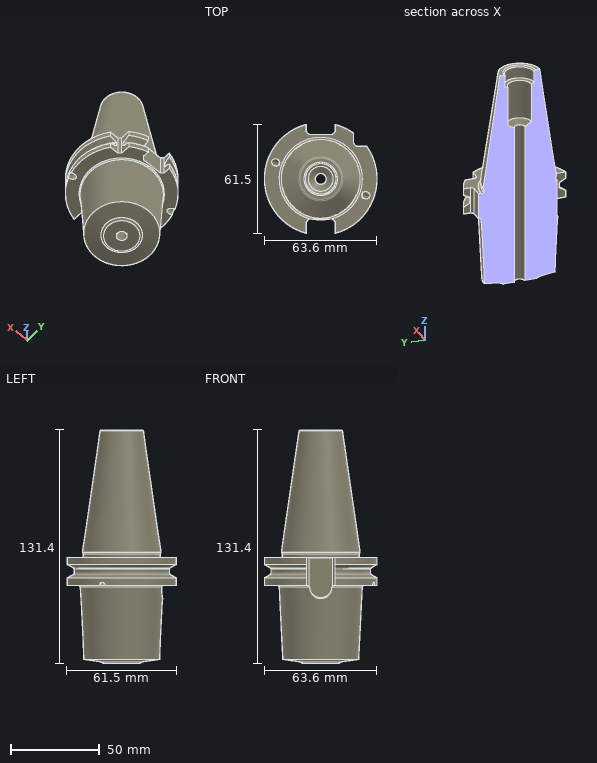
import cadquery as cq
import math


gauge_radius = 44.45 / 2
taper_ratio = 7 / 48
shank_top = 68.4
shank_edge = 0.7
gauge_band_bottom = -0.6
neck_radius = 21.75
neck_top = -1.3

flange_radius = 63.55 / 2
flange_top = -3.2
flange_bottom = -19.1
relief_radius = 23.4
relief_depth = 0.4
groove_radius = 56.25 / 2
groove_middle = -11.0
groove_base_width = 3.3
groove_wall_angle = 30
groove_upper_fillet = 0.5
groove_lower_fillet = 1.0

nose_bottom = -63.0
collar_radius = 24.0
collar_bottom = -20.0
nose_top_radius = 23.45
nose_end_radius = 21.45
nose_end = -60.7
step_radius = 11.7
step_height = -62.1
tip_radius = 10.2

mouth_radius = 9.4
bore_radius = 8.6
mouth_depth = 0.8
bore_depth = 7.7
thread_radius = 7.0
seat_depth = 8.5
thread_depth = 32.0
through_radius = 3.0
drill_point_angle = 59

slot_width = 16.1
slot_bevel = 1.55
front_slot_floor = 22.6
back_slot_floor = 25.0
slot_round_centre = -19.4
notch_distance = 18.5
notch_bevel = 1.5

coolant_circle_radius = 27.0
coolant_diameter = 4.0
coolant_direction = 160
coolant_tilt = 30
rim_hole_height = -20.2
rim_hole_tilt = 45


def taper_radius(height):
    return gauge_radius - height * taper_ratio


def make_body():
    groove_drop = (flange_radius - groove_radius) * math.tan(math.radians(groove_wall_angle))
    base_top = groove_middle + groove_base_width / 2
    base_bottom = groove_middle - groove_base_width / 2
    edge_start = shank_top - shank_edge
    top_radius = taper_radius(edge_start)
    profile = (
        cq.Workplane("XZ")
        .moveTo(0, shank_top)
        .lineTo(top_radius - shank_edge, shank_top)
        .radiusArc((top_radius, edge_start), shank_edge)
        .lineTo(gauge_radius, 0)
        .lineTo(gauge_radius, gauge_band_bottom)
        .lineTo(neck_radius, neck_top)
        .lineTo(neck_radius, flange_top)
        .sagittaArc((relief_radius, flange_top), -relief_depth)
        .lineTo(flange_radius, flange_top)
        .lineTo(flange_radius, base_top + groove_drop)
        .lineTo(groove_radius, base_top)
        .lineTo(groove_radius, base_bottom)
        .lineTo(flange_radius, base_bottom - groove_drop)
        .lineTo(flange_radius, flange_bottom)
        .lineTo(collar_radius, flange_bottom)
        .lineTo(nose_top_radius, collar_bottom)
        .lineTo(nose_end_radius, nose_end)
        .lineTo(step_radius, step_height)
        .lineTo(tip_radius, nose_bottom)
        .lineTo(0, nose_bottom)
        .close()
    )
    body = profile.revolve(360, (0, 0), (0, 1))
    for height, fillet in ((base_top, groove_upper_fillet), (base_bottom, groove_lower_fillet)):
        corner = cq.selectors.BoxSelector(
            (-flange_radius, -flange_radius, height - fillet),
            (flange_radius, flange_radius, height + fillet),
            boundingbox=True,
        )
        body = body.edges(corner).fillet(fillet)
    return body


def make_bore():
    point_height = (thread_radius - through_radius) / math.tan(math.radians(drill_point_angle))
    return (
        cq.Workplane("XZ")
        .moveTo(0, shank_top)
        .lineTo(mouth_radius, shank_top)
        .lineTo(bore_radius, shank_top - mouth_depth)
        .lineTo(bore_radius, shank_top - bore_depth)
        .lineTo(thread_radius, shank_top - seat_depth)
        .lineTo(thread_radius, shank_top - thread_depth)
        .lineTo(through_radius, shank_top - thread_depth - point_height)
        .lineTo(through_radius, nose_bottom)
        .lineTo(0, nose_bottom)
        .close()
        .revolve(360, (0, 0), (0, 1))
    )


def make_slot_cutter(floor):
    """Round-ended slot on the -Y side with a bevel along its sides and round end."""
    half_width = slot_width / 2
    outline = (
        cq.Workplane("XZ", origin=(0, -floor, 0))
        .moveTo(-half_width, 0)
        .lineTo(-half_width, slot_round_centre)
        .threePointArc((0, slot_round_centre - half_width), (half_width, slot_round_centre))
        .lineTo(half_width, 0)
        .close()
    )
    return outline.extrude(flange_radius).faces(">Y").edges("not >Z").chamfer(slot_bevel)


def make_notch_cutter():
    size = flange_radius
    height = -flange_bottom
    return (
        cq.Workplane("XY")
        .box(size, size, height, centered=False)
        .edges("|Z and <X and <Y")
        .chamfer(notch_bevel)
        .translate((notch_distance, notch_distance, flange_bottom))
    )


def make_coolant_cutter():
    """Leaning hole from the flange face and the rim hole that meets it, in the +X direction."""
    face_slope = math.tan(math.radians(coolant_tilt))
    rim_slope = math.tan(math.radians(rim_hole_tilt))
    rise = flange_top - rim_hole_height
    depth = (coolant_circle_radius - flange_radius + rise * rim_slope) / (face_slope + rim_slope)
    meeting = cq.Vector(coolant_circle_radius - depth * face_slope, 0, flange_top - depth)
    face_start = cq.Vector(coolant_circle_radius, 0, flange_top)
    rim_start = cq.Vector(flange_radius, 0, rim_hole_height)

    def drill(start):
        path = start - meeting
        overshoot = coolant_diameter
        return cq.Solid.makeCylinder(coolant_diameter / 2, path.Length + overshoot, meeting, path)

    return cq.Workplane(drill(face_start)).union(cq.Workplane(drill(rim_start)))


result = make_body().cut(make_bore())
result = result.cut(make_slot_cutter(front_slot_floor))
result = result.cut(make_slot_cutter(back_slot_floor).rotate((0, 0, 0), (0, 0, 1), 180))
result = result.cut(make_notch_cutter())
for bearing in (coolant_direction, coolant_direction + 180):
    result = result.cut(make_coolant_cutter().rotate((0, 0, 0), (0, 0, 1), bearing))